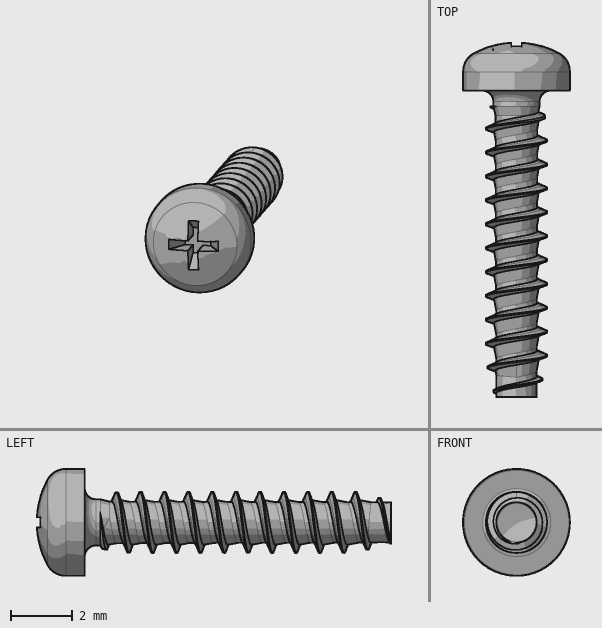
import cadquery as cq
import math


head_radius = 1.75
head_height = 1.58
rim_height = 0.62
dome_radius = 2.9
rim_edge_radius = 0.04

shank_length = 10.0
neck_radius = 0.76
neck_fillet = 0.35
neck_length = 0.50
core_start = 0.80
core_radius = 0.685
tip_radius = 0.66

dimple_radius = 0.63
dimple_depth = 0.045

pitch = 0.78
crest_radius = 1.0
crest_half_width = 0.02
flare_radius = 0.78
flare_offset = 0.11
root_offset = 0.16
land_radius = 0.735
land_start = 0.11
land_end = 0.51
thread_phase = 0.065
root_overlap = 0.15
full_thread_turns = 11.25
sinking_turns = 1.75
sinking_slope = 0.255
runout_start_radius = 0.85
runout_start_end = 1.1
envelope_clearance = 0.05
thread_limit_z = shank_length + pitch

recess_width = 0.33
recess_top_half_length = 0.88
recess_depth = 0.90
recess_taper_angle = 27.0


def make_body():
    """Head, neck and core revolved from one half outline."""
    dome_center_z = -head_height + dome_radius
    centers_rise = dome_center_z + rim_height
    shoulder_radius = (dome_radius**2 - head_radius**2 - centers_rise**2) / (
        2 * (dome_radius - head_radius)
    )
    shoulder_center_x = head_radius - shoulder_radius
    joint_angle = math.atan2(centers_rise, shoulder_center_x)
    dome_half_angle = (math.pi / 2 - joint_angle) / 2

    def shoulder_point(angle):
        return (
            shoulder_center_x + shoulder_radius * math.cos(angle),
            -rim_height - shoulder_radius * math.sin(angle),
        )

    dome_mid = (
        dome_radius * math.sin(dome_half_angle),
        dome_center_z - dome_radius * math.cos(dome_half_angle),
    )
    corner_inset = 1 - math.sqrt(0.5)
    rim_edge_mid = (
        head_radius - rim_edge_radius * corner_inset,
        -rim_edge_radius * corner_inset,
    )
    fillet_mid_offset = neck_fillet * corner_inset
    outline = (
        cq.Workplane("XZ")
        .moveTo(0, -head_height)
        .threePointArc(dome_mid, shoulder_point(joint_angle))
        .threePointArc(shoulder_point(joint_angle / 2), (head_radius, -rim_height))
        .lineTo(head_radius, -rim_edge_radius)
        .threePointArc(rim_edge_mid, (head_radius - rim_edge_radius, 0))
        .lineTo(neck_radius + neck_fillet, 0)
        .threePointArc(
            (neck_radius + fillet_mid_offset, fillet_mid_offset),
            (neck_radius, neck_fillet),
        )
        .lineTo(neck_radius, neck_length)
        .lineTo(core_radius, core_start)
        .lineTo(tip_radius, shank_length)
        .lineTo(0, shank_length)
        .close()
    )
    return outline.revolve(360, (0, 0, 0), (0, 1, 0))


def helical_ridge(section, turns, cone_angle):
    """Solid swept by a (radius, axial) section; a negative cone_angle leans it to the axis."""
    slant_pitch = pitch / math.cos(math.radians(cone_angle))
    paths = []
    for radius, axial in section:
        center = cq.Vector(0, 0, axial)
        helix = cq.Wire.makeHelix(
            slant_pitch, turns * slant_pitch, radius, center, angle=cone_angle
        )
        paths.append(helix.Edges()[0])
    faces = [
        cq.Face.makeRuledSurface(path, next_path)
        for path, next_path in zip(paths, paths[1:] + paths[:1])
    ]
    for position in (0, 1):
        corners = [path.positionAt(position) for path in paths]
        faces.append(cq.Face.makeFromWires(cq.Wire.makePolygon(corners, close=True)))
    return cq.Solid.makeSolid(cq.Shell.makeShell(faces))


def make_thread():
    """Full helical ridge with a flared root and sloping land, then a turn sinking into the tip."""
    buried_radius = core_radius - root_overlap
    section = [
        (buried_radius, -root_offset),
        (core_radius, -root_offset),
        (flare_radius, -flare_offset),
        (crest_radius, -crest_half_width),
        (crest_radius, crest_half_width),
        (land_radius, land_start),
        (tip_radius, land_end),
        (buried_radius, land_end),
    ]
    straight_helix_angle = 360.0
    full_ridge = helical_ridge(section, full_thread_turns, straight_helix_angle)
    sinking_ridge = (
        helical_ridge(section, sinking_turns, -math.degrees(math.atan(sinking_slope)))
        .rotate(cq.Vector(0, 0, 0), cq.Vector(0, 0, 1), 360 * full_thread_turns)
        .translate(cq.Vector(0, 0, full_thread_turns * pitch))
    )

    envelope_radius = crest_radius + envelope_clearance
    start_cone_slope = (runout_start_end - neck_length) / (crest_radius - runout_start_radius)
    envelope_start_z = runout_start_end + envelope_clearance * start_cone_slope
    envelope = (
        cq.Workplane("XZ")
        .moveTo(0, neck_length)
        .lineTo(runout_start_radius, neck_length)
        .lineTo(envelope_radius, envelope_start_z)
        .lineTo(envelope_radius, thread_limit_z)
        .lineTo(0, thread_limit_z)
        .close()
        .revolve(360, (0, 0, 0), (0, 1, 0))
    )
    ridge = cq.Workplane(obj=full_ridge).union(cq.Workplane(obj=sinking_ridge))
    return ridge.translate((0, 0, thread_phase)).intersect(envelope)


def make_tip_cutter():
    """Everything beyond the flat tip, with a shallow cone that leaves a dimple in it."""
    return (
        cq.Workplane("XZ")
        .moveTo(0, shank_length - dimple_depth)
        .lineTo(dimple_radius, shank_length)
        .lineTo(crest_radius, shank_length)
        .lineTo(crest_radius, thread_limit_z)
        .lineTo(0, thread_limit_z)
        .close()
        .revolve(360, (0, 0, 0), (0, 1, 0))
    )


def make_recess():
    """Two crossed slots with sloping ends, sunk into the crown of the head."""
    end_inset = recess_depth * math.tan(math.radians(recess_taper_angle))
    bottom_half_length = recess_top_half_length - end_inset
    floor_z = -head_height + recess_depth
    wing = (
        cq.Workplane("XZ")
        .polyline([
            (-recess_top_half_length, -head_height),
            (recess_top_half_length, -head_height),
            (bottom_half_length, floor_z),
            (-bottom_half_length, floor_z),
        ])
        .close()
        .extrude(recess_width / 2, both=True)
    )
    return wing.union(wing.rotate((0, 0, 0), (0, 0, 1), 90))


screw = make_body().union(make_thread())
screw = screw.cut(make_tip_cutter()).cut(make_recess())
result = screw.rotate((0, 0, 0), (1, 0, 0), 90)